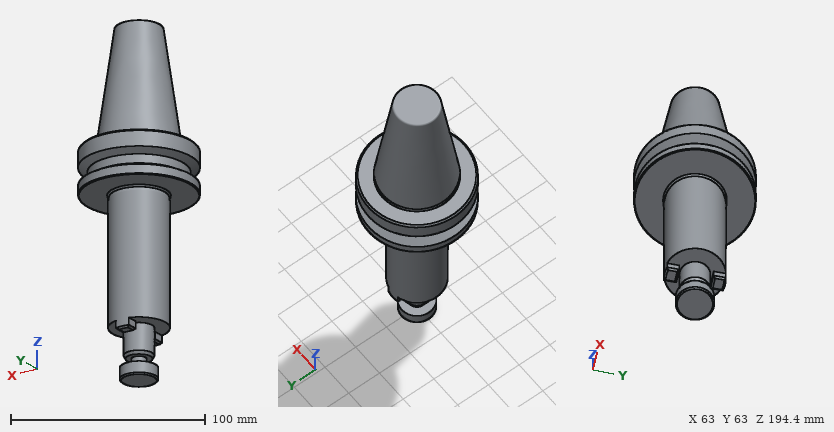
import cadquery as cq


gauge_diameter = 44.45
taper_length = 65.4
taper_ratio = 7 / 24
tip_fillet = 1.0

neck_diameter = 44.8
neck_relief_depth = 0.6
neck_relief_height = 0.7
neck_collar_height = 0.1

flange_diameter = 63.0
flange_top = -2.0
flange_bottom = -27.0
flange_top_chamfer = 1.0
flange_bottom_chamfer = 0.5
groove_center = -16.6
groove_width = 10.0
groove_floor_diameter = 53.4
groove_floor_width = 5.0

shank_diameter = 32.0
shank_bottom = -100.0
relief_depth = 0.45
relief_upper_height = 1.0
relief_top_diameter = 33.0
relief_lower_height = 1.8

pilot_diameter = 16.0
pilot_length = 17.0
pilot_chamfer_width = 1.0
pilot_chamfer_height = 1.75

screw_diameter = 8.0
head_diameter = 20.0
head_height = 7.0
screw_reach = 29.0
head_chamfer = 0.8
collar_diameter = 9.2
collar_height = 0.5

key_width = 8.0
key_height = 5.0
key_inner_offset = 9.0
key_chamfer = 1.0


def revolve_profile(profile):
    """Revolve a half profile, given as (radius, height) points, around the tool axis."""
    return cq.Workplane("XZ").polyline(profile).close().revolve(360, (0, 0), (0, 1))


def make_taper():
    """Taper with a rounded tip, and the relieved neck that joins it to the flange."""
    gauge_radius = gauge_diameter / 2
    tip_radius = gauge_radius - taper_length * taper_ratio / 2
    neck_radius = neck_diameter / 2
    profile = [
        (0, taper_length),
        (tip_radius, taper_length),
        (gauge_radius, 0),
        (neck_radius - neck_relief_depth, -neck_relief_height),
        (neck_radius, flange_top + neck_collar_height),
        (neck_radius, flange_top),
        (0, flange_top),
    ]
    return revolve_profile(profile).faces(">Z").edges().fillet(tip_fillet)


def make_flange():
    """Flange with a chamfered top rim and the V-flanked gripper groove."""
    rim = flange_diameter / 2
    floor = groove_floor_diameter / 2
    flank_height = (groove_width - groove_floor_width) / 2
    groove_top = groove_center + groove_width / 2
    groove_bottom = groove_center - groove_width / 2
    profile = [
        (0, flange_top),
        (rim, flange_top),
        (rim, groove_top),
        (floor, groove_top - flank_height),
        (floor, groove_bottom + flank_height),
        (rim, groove_bottom),
        (rim, flange_bottom + flange_bottom_chamfer),
        (rim - flange_bottom_chamfer, flange_bottom),
        (0, flange_bottom),
    ]
    return revolve_profile(profile).faces(">Z").edges().chamfer(flange_top_chamfer)


def shank_profile():
    """Half profile of the shank with its relief."""
    radius = shank_diameter / 2
    relief_middle = flange_bottom - relief_upper_height
    return [
        (relief_top_diameter / 2, flange_bottom),
        (radius - relief_depth, relief_middle),
        (radius, relief_middle - relief_lower_height),
        (radius, shank_bottom),
    ]


def pilot_profile():
    """Half profile of the pilot with its end chamfer."""
    radius = pilot_diameter / 2
    pilot_bottom = shank_bottom - pilot_length
    return [
        (radius, shank_bottom),
        (radius, pilot_bottom + pilot_chamfer_height),
        (radius - pilot_chamfer_width, pilot_bottom),
    ]


def screw_profile():
    """Half profile of the exposed screw, ending on the axis."""
    radius = screw_diameter / 2
    head_radius = head_diameter / 2
    head_bottom = shank_bottom - screw_reach
    head_top = head_bottom + head_height
    return [
        (radius, shank_bottom - pilot_length),
        (radius, head_top + collar_height),
        (collar_diameter / 2, head_top + collar_height),
        (collar_diameter / 2, head_top),
        (head_radius, head_top),
        (head_radius, head_bottom + head_chamfer),
        (head_radius - head_chamfer, head_bottom),
        (0, head_bottom),
    ]


def make_lower_body():
    """Shank, pilot and clamping screw below the flange."""
    profile = [(0, flange_bottom)]
    profile += shank_profile()
    profile += pilot_profile()
    profile += screw_profile()
    return revolve_profile(profile)


def make_key(side):
    """One drive key on the Y axis, flush with the shank surface; side is -1 or 1."""
    shank_radius = shank_diameter / 2
    key_plane = cq.Workplane("XY", origin=(0, 0, shank_bottom - key_height))
    shank_disc = key_plane.circle(shank_radius).extrude(key_height)
    block = (
        key_plane.center(0, side * (key_inner_offset + shank_radius / 2))
        .rect(key_width, shank_radius)
        .extrude(key_height)
    )
    return shank_disc.intersect(block).faces("<Z").chamfer(key_chamfer)


result = make_taper().union(make_flange()).union(make_lower_body())
for key_side in (-1, 1):
    result = result.union(make_key(key_side))